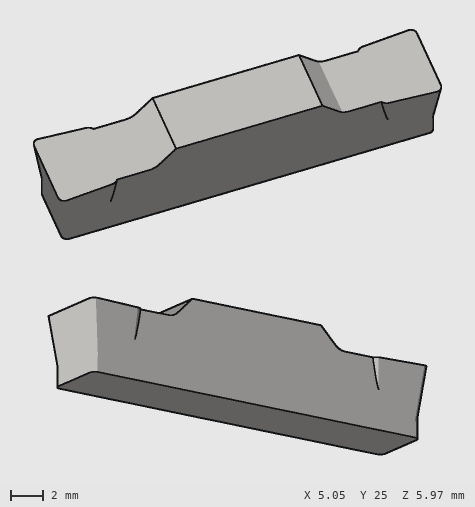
import cadquery as cq
import math

head_length = 25.02
head_width = 5.05
total_height = 5.97
land_height = 4.60

body_width = 4.16
body_corner_radius = 0.40
crown_length = 9.56
ramp_angle = 45.0
ramp_foot_radius = 1.0

clearance_angle = 7.0
side_clearance_angle = 6.35
side_relief_angle = 4.0
shoulder_angle = 45.0
neck_distance = 3.88
nose_radius = 0.40
shoulder_radius = 0.50
clearance_face_height = 1.72
root_half_width = 1.20
match_tolerance = 1e-3

clearance_depth = land_height - clearance_face_height
body_length = head_length - 2 * clearance_depth * math.tan(math.radians(clearance_angle))
ramp_run = (total_height - land_height) / math.tan(math.radians(ramp_angle))


def make_body():
    """Shank with rounded vertical corners and a raised middle between two ramps."""
    half_length = body_length / 2
    crown_end = crown_length / 2
    ramp_foot = crown_end + ramp_run
    side_profile = [
        (-half_length, 0),
        (half_length, 0),
        (half_length, land_height),
        (ramp_foot, land_height),
        (crown_end, total_height),
        (-crown_end, total_height),
        (-ramp_foot, land_height),
        (-half_length, land_height),
    ]
    body = (
        cq.Workplane("YZ")
        .polyline(side_profile)
        .close()
        .extrude(body_width / 2, both=True)
    )
    body = body.edges("|Z").fillet(body_corner_radius)
    for side in (-1, 1):
        foot_edge = cq.selectors.NearestToPointSelector((0, side * ramp_foot, land_height))
        body = body.edges("|X").edges(foot_edge).fillet(ramp_foot_radius)
    return body


def head_outline(depth):
    """Sharp-cornered right half of the head section, at a depth below the land, tip first."""
    relief = math.tan(math.radians(side_relief_angle))
    shoulder = math.tan(math.radians(shoulder_angle))
    end_shift = depth * math.tan(math.radians(clearance_angle))
    side_shift = depth * math.tan(math.radians(side_clearance_angle))

    nose_tangent = nose_radius * math.tan(math.radians(90 + side_relief_angle) / 2)
    sharp_half_width = head_width / 2 + nose_tangent * math.sin(math.radians(side_relief_angle))

    side_start = sharp_half_width - side_shift / math.cos(math.radians(side_relief_angle))
    shoulder_start = (
        body_width / 2
        + neck_distance * shoulder
        - end_shift / math.cos(math.radians(shoulder_angle))
    )
    shoulder_distance = (shoulder_start - side_start) / (shoulder - relief)
    root_distance = (shoulder_start - root_half_width) / shoulder

    tip_y = -head_length / 2
    return [
        (side_start - relief * end_shift, tip_y + end_shift),
        (side_start - relief * shoulder_distance, tip_y + shoulder_distance),
        (root_half_width, tip_y + root_distance),
    ]


def section_points(depth):
    """Corners of the full head section at a depth below the land, in order around it."""
    right_side = head_outline(depth)
    left_side = [(-x, y) for x, y in reversed(right_side)]
    return [cq.Vector(x, y, land_height - depth) for x, y in right_side + left_side]


def flat_face(points):
    """Planar face bounded by straight edges."""
    return cq.Face.makeFromWires(cq.Wire.makePolygon(points, close=True))


def drafted_block():
    """Sharp-edged head with flat flanks, from the land down to the underside."""
    upper = section_points(0)
    lower = section_points(land_height)
    faces = [flat_face(upper), flat_face(lower)]
    for i in range(len(upper)):
        faces.append(flat_face([upper[i - 1], upper[i], lower[i], lower[i - 1]]))
    return cq.Solid.makeSolid(cq.Shell.makeShell(faces))


def corner_edges(head, corner):
    """Sloping edges that start at an outline corner, on both sides of the head."""
    x, y = corner
    edges = []
    for side in (-1, 1):
        start = cq.Vector(side * x, y, land_height)
        edges += [
            edge
            for edge in head.Edges()
            if edge.BoundingBox().zlen > land_height / 2
            and min((vertex.Center() - start).Length for vertex in edge.Vertices()) < match_tolerance
        ]
    return edges


def make_head():
    """Head at the -Y end: a drafted block with rounded noses and shoulders."""
    head = drafted_block()
    tip_corner, shoulder_corner, _ = head_outline(0)
    head = head.fillet(nose_radius, corner_edges(head, tip_corner))
    head = head.fillet(shoulder_radius, corner_edges(head, shoulder_corner))
    return cq.Workplane(head)


half_turn = 180
head = make_head()
opposite_head = head.rotate((0, 0, 0), (0, 0, 1), half_turn)
insert = make_body().union(head).union(opposite_head)
result = cq.Workplane(insert.solids().val())